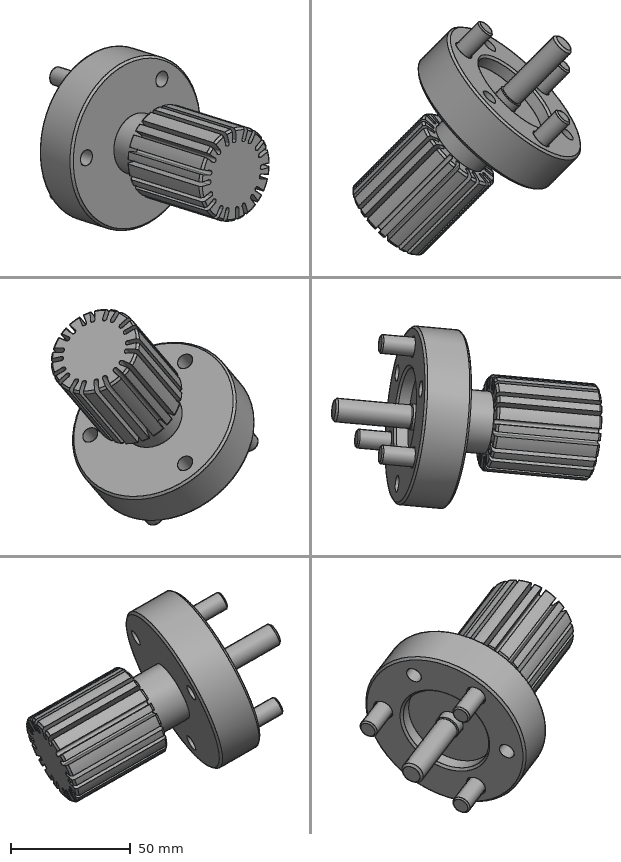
import cadquery as cq
import math

TOTAL_LENGTH = 110.5
FLANGE_FRONT = 30.5
FLANGE_THICKNESS = 20.0
KNOB_LENGTH = 45.0
FLANGE_BACK = FLANGE_FRONT + FLANGE_THICKNESS
KNOB_FRONT = TOTAL_LENGTH - KNOB_LENGTH

FLANGE_DIAMETER = 75.0
RECESS_DIAMETER = 40.0
RECESS_DEPTH = 6.0
RECESS_FLOOR = FLANGE_FRONT + RECESS_DEPTH
BORE_DIAMETER = 11.0
EDGE_CHAMFER = 1.0

BOLT_CIRCLE_RADIUS = 29.0
PIN_COUNT = 3
PIN_ANGLE_STEP = 360.0 / PIN_COUNT
BOLT_HOLE_DIAMETER = 6.9
PIN_DIAMETER = 8.0
PIN_PROTRUSION = 14.0
PIN_CHAMFER = 0.7
PIN_SEAT_DEPTH = 10.0
PIN_RELIEF_DIAMETER = 9.0
PIN_RELIEF_DEPTH = 2.0

STUD_DIAMETER = 10.0
JOURNAL_DIAMETER = 10.8
JOURNAL_CHAMFER = (JOURNAL_DIAMETER - STUD_DIAMETER) / 2
JOURNAL_PROTRUSION = 4.0
JOURNAL_FRONT = RECESS_FLOOR - JOURNAL_PROTRUSION
ECCENTRIC_Y = 0.2
ECCENTRIC_Z = -0.4
NECK_DIAMETER = 26.3
KNOB_DIAMETER = 40.4

GROOVE_PAIR_COUNT = 10
GROOVE_PAIR_STEP = 360.0 / GROOVE_PAIR_COUNT
GROOVE_PAIR_SPACING = 15.0
GROOVE_WIDTH = 2.0
GROOVE_DEPTH = 6.0


def cylinder(x_start, x_end, diameter, y=0.0, z=0.0):
    """Cylinder along X between two X positions."""
    base = cq.Workplane("YZ", origin=(x_start, y, z))
    return base.circle(diameter / 2).extrude(x_end - x_start)


def bolt_circle_point(angle):
    """Y and Z of a point on the bolt circle, with the angle measured from +Y towards +Z."""
    radians = math.radians(angle)
    return BOLT_CIRCLE_RADIUS * math.cos(radians), BOLT_CIRCLE_RADIUS * math.sin(radians)


def make_flange():
    """Disc with a front recess, a bore for the journal, pin seats and bolt holes."""
    flange = cylinder(FLANGE_FRONT, FLANGE_BACK, FLANGE_DIAMETER).edges().chamfer(EDGE_CHAMFER)

    recess = cylinder(FLANGE_FRONT, RECESS_FLOOR, RECESS_DIAMETER)
    flange = flange.cut(recess)
    flange = flange.faces("<X").edges(cq.selectors.RadiusNthSelector(0)).chamfer(EDGE_CHAMFER)

    bore = cylinder(RECESS_FLOOR, FLANGE_BACK, BORE_DIAMETER)
    journal_seat = cylinder(RECESS_FLOOR, FLANGE_BACK, JOURNAL_DIAMETER, ECCENTRIC_Y, ECCENTRIC_Z)
    flange = flange.cut(bore).cut(journal_seat)

    for index in range(PIN_COUNT):
        y, z = bolt_circle_point(index * PIN_ANGLE_STEP)
        flange = flange.cut(cylinder(FLANGE_FRONT, FLANGE_FRONT + PIN_SEAT_DEPTH, PIN_DIAMETER, y, z))
        flange = flange.cut(cylinder(FLANGE_FRONT, FLANGE_FRONT + PIN_RELIEF_DEPTH, PIN_RELIEF_DIAMETER, y, z))
        y, z = bolt_circle_point((index + 0.5) * PIN_ANGLE_STEP)
        flange = flange.cut(cylinder(FLANGE_FRONT, FLANGE_BACK, BOLT_HOLE_DIAMETER, y, z))
    return flange


def make_pin(angle):
    """Pin seated in the flange, with a chamfered free end."""
    y, z = bolt_circle_point(angle)
    pin = cylinder(FLANGE_FRONT - PIN_PROTRUSION, FLANGE_FRONT + PIN_SEAT_DEPTH, PIN_DIAMETER, y, z)
    return pin.faces("<X").chamfer(PIN_CHAMFER)


def make_groove_cutter(angle):
    """Round-bottomed radial slot, with the angle measured from -Y towards +Z."""
    bottom = KNOB_DIAMETER / 2 - GROOVE_DEPTH
    radius = GROOVE_WIDTH / 2
    cutter = (
        cq.Workplane("YZ", origin=(KNOB_FRONT, 0, 0))
        .moveTo(-KNOB_DIAMETER, -radius)
        .lineTo(-bottom - radius, -radius)
        .threePointArc((-bottom, 0), (-bottom - radius, radius))
        .lineTo(-KNOB_DIAMETER, radius)
        .close()
        .extrude(KNOB_LENGTH)
    )
    return cutter.rotate((0, 0, 0), (1, 0, 0), -angle)


def make_spindle():
    """Grooved knob, neck, journal and eccentric stud in one piece."""
    knob = cylinder(KNOB_FRONT, TOTAL_LENGTH, KNOB_DIAMETER).edges().chamfer(EDGE_CHAMFER)
    for index in range(GROOVE_PAIR_COUNT):
        pair_angle = index * GROOVE_PAIR_STEP
        knob = knob.cut(make_groove_cutter(pair_angle))
        knob = knob.cut(make_groove_cutter(pair_angle + GROOVE_PAIR_SPACING))
    neck = cylinder(FLANGE_BACK, KNOB_FRONT, NECK_DIAMETER)
    journal = cylinder(JOURNAL_FRONT, FLANGE_BACK, JOURNAL_DIAMETER, ECCENTRIC_Y, ECCENTRIC_Z)
    journal = journal.faces("<X").chamfer(JOURNAL_CHAMFER)
    stud = cylinder(0, JOURNAL_FRONT, STUD_DIAMETER, ECCENTRIC_Y, ECCENTRIC_Z)
    stud = stud.faces("<X").chamfer(EDGE_CHAMFER)
    return knob.union(neck).union(journal).union(stud)


flange = make_flange()
pins = [make_pin(index * PIN_ANGLE_STEP) for index in range(PIN_COUNT)]
spindle = make_spindle()

result = cq.Compound.makeCompound([flange.val(), *[pin.val() for pin in pins], spindle.val()])